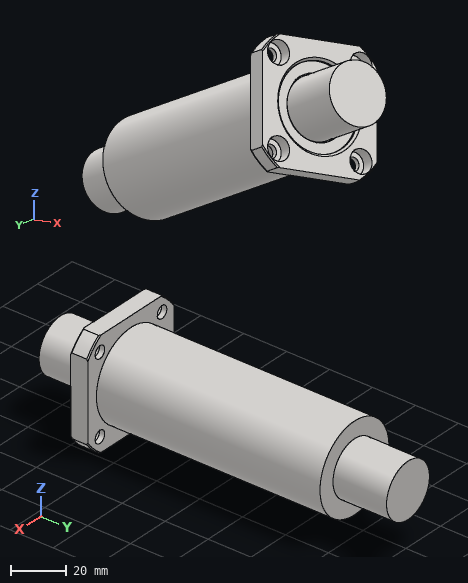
import cadquery as cq

overall_length = 162.0
shaft_overhang = 25.0
shaft_diameter = 25.0

sleeve_diameter = 40.0
sleeve_length = overall_length - 2 * shaft_overhang

flange_width = 50.0
flange_thickness = 8.0
flange_disc_diameter = 61.9
flange_disc_chamfer = 0.5

hole_pitch = 36.0
hole_diameter = 5.5
counterbore_diameter = 9.5
counterbore_depth = 5.5

recess_diameter = 34.8
recess_depth = 2.0
recess_mouth_chamfer = 1.0

clearance_diameter = 26.0
clearance_depth = 1.0

shaft_front = -overall_length / 2
flange_front = shaft_front + shaft_overhang
recess_floor = flange_front + recess_depth


def rod(diameter, start, length):
    """Cylinder on the Y axis running from start toward +Y."""
    plane = cq.Plane(origin=(0, start, 0), xDir=(1, 0, 0), normal=(0, 1, 0))
    return cq.Workplane(plane).circle(diameter / 2).extrude(length)


def make_flange():
    disc = rod(flange_disc_diameter, flange_front, flange_thickness)
    disc = disc.edges().chamfer(flange_disc_chamfer)
    square = cq.Workplane("XY").box(flange_width, overall_length, flange_width)
    return disc.intersect(square)


def drill_mounting_holes(body):
    front_plane = cq.Plane(origin=(0, flange_front, 0), xDir=(1, 0, 0), normal=(0, -1, 0))
    return (
        cq.Workplane(front_plane)
        .add(body)
        .rarray(hole_pitch, hole_pitch, 2, 2)
        .cboreHole(hole_diameter, counterbore_diameter, counterbore_depth, flange_thickness)
    )


def cut_seal_recess(body):
    recess = rod(recess_diameter, flange_front, recess_depth)
    clearance = rod(clearance_diameter, recess_floor, clearance_depth)
    mouth_radius = recess_diameter / 2 + recess_mouth_chamfer
    mouth_cone = cq.Workplane(
        cq.Solid.makeCone(
            mouth_radius,
            recess_diameter / 2,
            recess_mouth_chamfer,
            pnt=cq.Vector(0, flange_front, 0),
            dir=cq.Vector(0, 1, 0),
        )
    )
    return body.cut(recess).cut(mouth_cone).cut(clearance)


bearing = rod(sleeve_diameter, flange_front, sleeve_length).union(make_flange())
bearing = cut_seal_recess(bearing)
bearing = drill_mounting_holes(bearing)

shaft = rod(shaft_diameter, shaft_front, overall_length)
result = bearing.union(shaft)